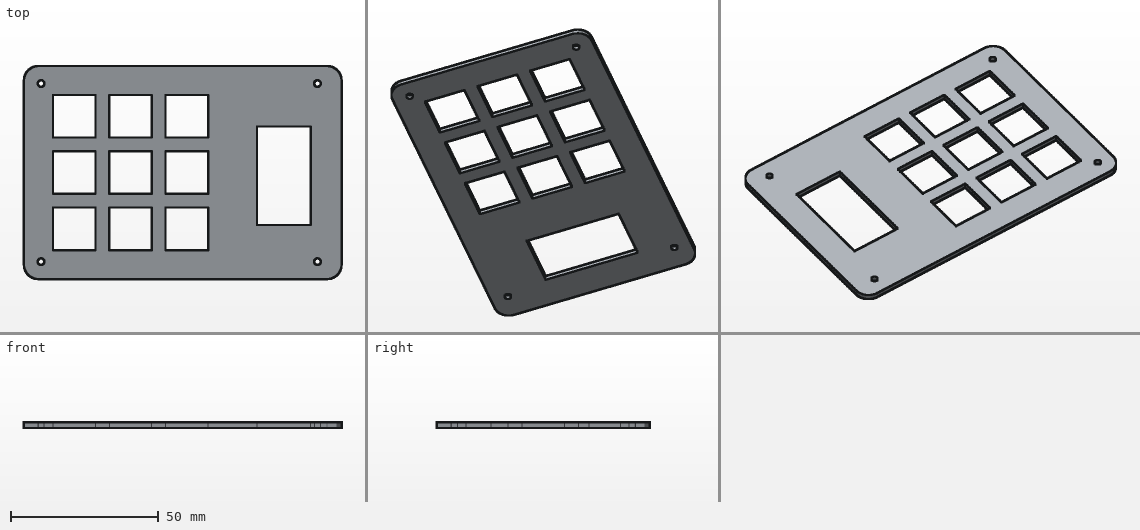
import cadquery as cq

plate_length = 107.8
plate_width = 72.3
plate_thickness = 2.0
corner_radius = 5.1

keys_per_side = 3
key_size = 14.3
key_pitch = 19.1
key_grid_center_x = -17.7

window_length = 18.1
window_width = 33.3
window_center_x = 34.3
window_center_y = -1.1

hole_diameter = 2.2
hole_spacing_x = 93.7
hole_spacing_y = 60.4
hole_center_x = -1.2


def make_plate():
    """Flat plate with rounded vertical corners, lying on the XY plane."""
    plate = cq.Workplane("XY").box(
        plate_length, plate_width, plate_thickness, centered=(True, True, False)
    )
    return plate.edges("|Z").fillet(corner_radius)


def make_key_cutters():
    """Square through-cutters for the grid of keys."""
    return (
        cq.Workplane("XY")
        .center(key_grid_center_x, 0)
        .rarray(key_pitch, key_pitch, keys_per_side, keys_per_side)
        .rect(key_size, key_size)
        .extrude(plate_thickness)
    )


def make_window_cutter():
    """Rectangular through-cutter for the screen."""
    return (
        cq.Workplane("XY")
        .center(window_center_x, window_center_y)
        .rect(window_length, window_width)
        .extrude(plate_thickness)
    )


def make_hole_cutters():
    """Round through-cutters for the four mounting screws."""
    return (
        cq.Workplane("XY")
        .center(hole_center_x, 0)
        .rarray(hole_spacing_x, hole_spacing_y, 2, 2)
        .circle(hole_diameter / 2)
        .extrude(plate_thickness)
    )


result = (
    make_plate()
    .cut(make_key_cutters())
    .cut(make_window_cutter())
    .cut(make_hole_cutters())
)